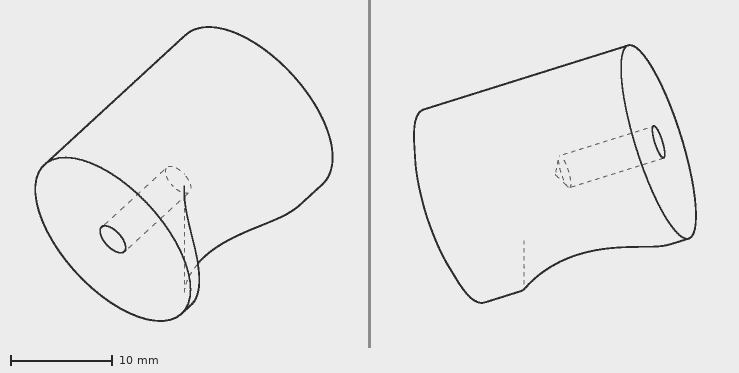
import cadquery as cq
import math

body_diameter = 20.0
overall_length = 24.0
dome_radius = 26.0
rim_fillet = 0.5

recess_radius = 8.6
recess_depth = 6.5
recess_center_y = 9.9
recess_edge_fillet = 0.5

hole_diameter = 3.3
hole_depth = 10.0
drill_point_angle = 118.0

body_radius = body_diameter / 2
hole_radius = hole_diameter / 2
dome_height = dome_radius - math.sqrt(dome_radius**2 - body_radius**2)
side_length = overall_length - dome_height


def make_body():
    """Revolved bar with a domed end and a rounded rim."""
    half_radius = body_radius / 2
    half_drop = dome_radius - math.sqrt(dome_radius**2 - half_radius**2)
    body = (
        cq.Workplane("XY")
        .lineTo(body_radius, 0)
        .lineTo(body_radius, side_length)
        .threePointArc((half_radius, overall_length - half_drop), (0, overall_length))
        .close()
        .revolve(360, (0, 0, 0), (0, 1, 0))
    )
    rim = cq.selectors.BoxSelector(
        (-body_radius, side_length - rim_fillet, -body_radius),
        (body_radius, side_length + rim_fillet, body_radius),
    )
    return body.edges("%CIRCLE").edges(rim).fillet(rim_fillet)


def cut_finger_recess(body):
    """Scoop out the +X side and round the edge of the scoop."""
    recess_center_x = body_radius - recess_depth + recess_radius
    scoop = (
        cq.Workplane("XY")
        .center(recess_center_x, recess_center_y)
        .circle(recess_radius)
        .extrude(body_radius, both=True)
    )
    recess_edges = cq.selectors.BoxSelector(
        (0, recess_center_y - recess_radius, -body_radius),
        (2 * body_radius, recess_center_y + recess_radius, body_radius),
    )
    return body.cut(scoop).edges("not(%CIRCLE or %LINE)").edges(recess_edges).fillet(recess_edge_fillet)


def make_screw_hole():
    """Revolved drill shape: straight bore ending in a cone."""
    point_length = hole_radius / math.tan(math.radians(drill_point_angle / 2))
    return (
        cq.Workplane("XY")
        .lineTo(hole_radius, 0)
        .lineTo(hole_radius, hole_depth)
        .lineTo(0, hole_depth + point_length)
        .close()
        .revolve(360, (0, 0, 0), (0, 1, 0))
    )


result = cut_finger_recess(make_body()).cut(make_screw_hole())